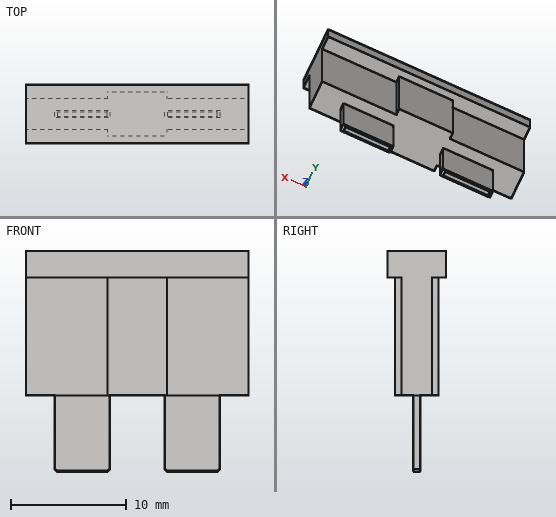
import cadquery as cq

cap_length = 19.22
cap_width = 5.08
cap_height = 2.3

body_height = 10.16
body_width = 2.64
rib_length = 5.1
rib_width = 3.78

total_height = 19.08
blade_height = total_height - cap_height - body_height
blade_length = 4.75
blade_thickness = 0.64
blade_spacing = 9.49
tip_end_chamfer = 0.254
tip_face_chamfer = 0.127

body_bottom = 0
body_top = body_bottom + body_height


def block(length, width, height, bottom):
    """Box centred on the Z axis, standing on the given level."""
    return cq.Workplane("XY").workplane(offset=bottom).rect(length, width).extrude(height)


def blade(center_x):
    """Contact blade whose tip is chamfered more on the narrow ends than on the broad faces."""
    plate = block(blade_length, blade_thickness, blade_height, body_bottom - blade_height)
    plate = plate.faces("<Z").edges("|Y").chamfer(tip_end_chamfer)
    plate = plate.faces("<Z").edges("|X").chamfer(tip_face_chamfer)
    return plate.translate((center_x, 0, 0))


cap = block(cap_length, cap_width, cap_height, body_top)
body = block(cap_length, body_width, body_height, body_bottom)
rib = block(rib_length, rib_width, body_height, body_bottom)

result = cap.union(body).union(rib)
for side in (-1, 1):
    result = result.union(blade(side * blade_spacing / 2))